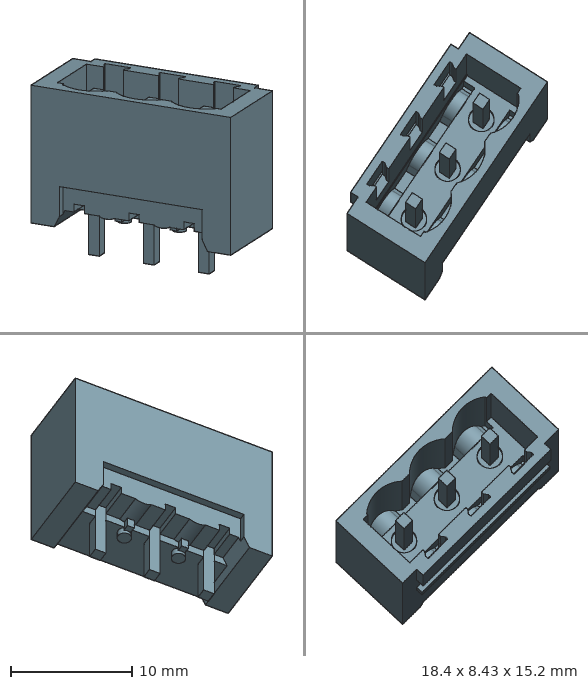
import cadquery as cq
import math


WIDTH = 18.44
DEPTH = 7.69
HEIGHT = 12.0
FRONT = -DEPTH / 2
REAR = DEPTH / 2

PIN_COUNT = 3
PIN_PITCH = 5.07
PIN_SIDE = 1.0
PIN_TOP = HEIGHT - 1.01
PIN_BOTTOM = -3.19
PIN_Y = -0.04
PIN_FRONT = PIN_Y - PIN_SIDE / 2
PIN_XS = [(i - (PIN_COUNT - 1) / 2) * PIN_PITCH for i in range(PIN_COUNT)]
GAP_XS = [(a + b) / 2 for a, b in zip(PIN_XS, PIN_XS[1:])]

CAVITY_WIDTH = 15.1
CAVITY_FRONT = -2.3
CAVITY_REAR = 3.05
FLOOR = 5.16
LEDGE_DEPTH = 0.07
LEDGE_TOP = FLOOR + 0.37

GROOVE_WIDTH = 14.01
GROOVE_BOTTOM = 3.58
BAR_FRONT = -1.57
BAR_REAR = 1.88
SCALLOP_RADIUS = 3.1

RIDGE_RADIUS = 1.5
RIDGE_HALF_WIDTH = 1.66
RIDGE_FLANK_ANGLE = math.radians(57)

PIN_RECESS_DIAMETER = 2.1
PIN_RECESS_DEPTH = 0.37

KEY_NECK_HALF = 0.92
KEY_HEAD_HALF = 1.16
KEY_NECK_DEPTH = 0.22
KEY_TAPER_DEPTH = 0.33
KEY_FLOOR = HEIGHT - 4.17

COLLAR_DEPTH = 0.74
COLLAR_HEIGHT = 3.13
LATCH_DEPTH = 0.6
LATCH_HEIGHT = 0.74
LATCH_TOP = HEIGHT - 5.3

RECESS_HALF_WIDTH = 6.56
RECESS_DEPTH = 0.59
RECESS_TOP = 3.58
UNDERSIDE_FRONT = 1.35
UNDERSIDE_REAR = 0.6
FOOT_WIDTH = 2.14
FOOT_SLOPE = 0.52
NOTCH_WIDTH = 0.95
NOTCH_TOP = 2.03
BULGE_RADIUS = 1.57
BULGE_DROP = 0.18
PEG_RADIUS = 0.59
PEG_Y = PIN_FRONT + PEG_RADIUS
RIB_WIDTH = 0.63
RIB_FRONT = PIN_FRONT - 0.55
RIB_BOTTOM = 0.31


def block(x0, x1, y0, y1, z0, z1):
    """Axis-aligned box between two opposite corners."""
    return cq.Workplane("XY").box(x1 - x0, y1 - y0, z1 - z0, centered=False).translate((x0, y0, z0))


def centred_block(x, width, y0, y1, z0, z1):
    """Box centred on x."""
    return block(x - width / 2, x + width / 2, y0, y1, z0, z1)


def upright_cylinder(x, y, radius, z0, z1):
    return cq.Workplane("XY", origin=(x, y, z0)).circle(radius).extrude(z1 - z0)


def extrude_along_y(profile, y0, y1):
    """Extrude a closed XZ profile, drawn on the plane y = 0, from y0 to y1."""
    return profile.extrude(-(y1 - y0)).translate((0, y0, 0))


def outer_shell():
    shell = centred_block(0, WIDTH, FRONT, REAR, 0, HEIGHT)
    collar = centred_block(0, CAVITY_WIDTH, REAR, REAR + COLLAR_DEPTH, HEIGHT - COLLAR_HEIGHT, HEIGHT)
    latch = centred_block(0, CAVITY_WIDTH, REAR, REAR + LATCH_DEPTH, LATCH_TOP - LATCH_HEIGHT, LATCH_TOP)
    return shell.union(collar).union(latch)


def ridge(x):
    """Ridge with a round crest and flat flanks tangent to it."""
    tangent_x = RIDGE_RADIUS * math.sin(RIDGE_FLANK_ANGLE)
    tangent_z = GROOVE_BOTTOM + (RIDGE_HALF_WIDTH - tangent_x) * math.tan(RIDGE_FLANK_ANGLE)
    crest_z = tangent_z + RIDGE_RADIUS * (1 - math.cos(RIDGE_FLANK_ANGLE))
    profile = (
        cq.Workplane("XZ")
        .moveTo(x - RIDGE_HALF_WIDTH, GROOVE_BOTTOM)
        .lineTo(x - tangent_x, tangent_z)
        .threePointArc((x, crest_z), (x + tangent_x, tangent_z))
        .lineTo(x + RIDGE_HALF_WIDTH, GROOVE_BOTTOM)
        .close()
    )
    return extrude_along_y(profile, FRONT, REAR)


def cavity():
    """Space for the plug: a rectangular well, the two grooves and the front scallops."""
    ledge_y = CAVITY_REAR - LEDGE_DEPTH
    well = centred_block(0, CAVITY_WIDTH, CAVITY_FRONT, ledge_y, FLOOR, HEIGHT)
    well = well.union(centred_block(0, CAVITY_WIDTH, CAVITY_FRONT, CAVITY_REAR, LEDGE_TOP, HEIGHT))

    grooves = centred_block(0, GROOVE_WIDTH, BAR_REAR, ledge_y, GROOVE_BOTTOM, FLOOR)
    grooves = grooves.union(
        centred_block(0, GROOVE_WIDTH, CAVITY_FRONT, BAR_FRONT, GROOVE_BOTTOM, FLOOR)
    )
    scallop_limit = centred_block(0, GROOVE_WIDTH, FRONT, CAVITY_FRONT, GROOVE_BOTTOM, HEIGHT)
    for x in PIN_XS:
        scallop = upright_cylinder(x, PIN_Y, SCALLOP_RADIUS, GROOVE_BOTTOM, HEIGHT)
        grooves = grooves.union(scallop.intersect(scallop_limit))
    for x in PIN_XS:
        grooves = grooves.cut(ridge(x))
    return well.union(grooves)


def keyway(x):
    """Dovetail slot from the cavity to the housing's rear plane."""
    taper_start = CAVITY_REAR + KEY_NECK_DEPTH
    taper_end = taper_start + KEY_TAPER_DEPTH
    inner_y = CAVITY_REAR - LEDGE_DEPTH
    return (
        cq.Workplane("XY", origin=(x, 0, KEY_FLOOR))
        .moveTo(-KEY_NECK_HALF, inner_y)
        .lineTo(-KEY_NECK_HALF, taper_start)
        .lineTo(-KEY_HEAD_HALF, taper_end)
        .lineTo(-KEY_HEAD_HALF, REAR)
        .lineTo(KEY_HEAD_HALF, REAR)
        .lineTo(KEY_HEAD_HALF, taper_end)
        .lineTo(KEY_NECK_HALF, taper_start)
        .lineTo(KEY_NECK_HALF, inner_y)
        .close()
        .extrude(HEIGHT - KEY_FLOOR)
    )


def underside_channel(ceiling, y0, y1):
    """Channel between the two feet, narrowing upwards to its ceiling."""
    half_bottom = WIDTH / 2 - FOOT_WIDTH
    half_top = half_bottom - FOOT_SLOPE * ceiling
    profile = cq.Workplane("XZ").polyline(
        [(-half_bottom, 0), (half_bottom, 0), (half_top, ceiling), (-half_top, ceiling)]
    ).close()
    return extrude_along_y(profile, y0, y1)


def bulge(x, y0, y1):
    """Shallow round swelling that hangs below the front part of the underside."""
    centre_z = UNDERSIDE_FRONT - BULGE_DROP + BULGE_RADIUS
    half_width = math.sqrt(BULGE_RADIUS**2 - (BULGE_RADIUS - BULGE_DROP) ** 2)
    profile = (
        cq.Workplane("XZ")
        .moveTo(x - half_width, UNDERSIDE_FRONT)
        .threePointArc((x, centre_z - BULGE_RADIUS), (x + half_width, UNDERSIDE_FRONT))
        .close()
    )
    return extrude_along_y(profile, y0, y1)


def shape_underside(body):
    wall_y = FRONT + RECESS_DEPTH
    body = body.cut(centred_block(0, 2 * RECESS_HALF_WIDTH, FRONT, wall_y, 0, RECESS_TOP))
    body = body.cut(underside_channel(UNDERSIDE_FRONT, FRONT, PIN_FRONT))
    body = body.cut(underside_channel(UNDERSIDE_REAR, PIN_FRONT, REAR))
    for x in PIN_XS:
        body = body.cut(centred_block(x, NOTCH_WIDTH, wall_y, PIN_FRONT, UNDERSIDE_FRONT, NOTCH_TOP))
    for x in GAP_XS:
        body = body.union(bulge(x, wall_y, PIN_FRONT))
        body = body.union(upright_cylinder(x, PEG_Y, PEG_RADIUS, 0, UNDERSIDE_REAR))
        body = body.union(centred_block(x, RIB_WIDTH, RIB_FRONT, PEG_Y, RIB_BOTTOM, UNDERSIDE_FRONT))
    return body


def pin(x):
    return centred_block(x, PIN_SIDE, PIN_FRONT, PIN_FRONT + PIN_SIDE, PIN_BOTTOM, PIN_TOP)


def make_housing():
    body = outer_shell().cut(cavity())
    for x in PIN_XS:
        body = body.cut(keyway(x))
        recess = upright_cylinder(x, PIN_Y, PIN_RECESS_DIAMETER / 2, FLOOR - PIN_RECESS_DEPTH, FLOOR)
        body = body.cut(recess)
    body = shape_underside(body)
    for x in PIN_XS:
        body = body.cut(pin(x))
    return body


housing = make_housing().solids().val()
pins = [pin(x) for x in PIN_XS]

result = cq.Compound.makeCompound([housing, *[p.val() for p in pins]])